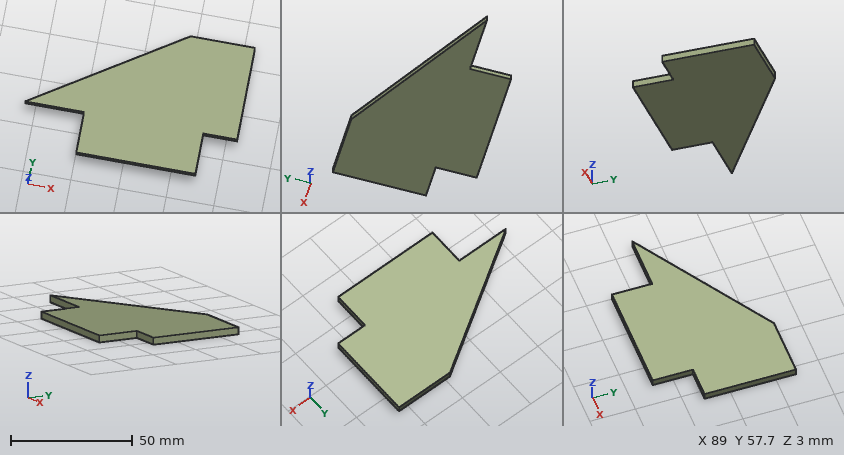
import cadquery as cq

length = 89.0
depth = 57.7
thickness = 3.0

tab_depth = 17.6
tab_width = 50.0
tab_left = 24.7
tab_right = tab_left + tab_width

back_edge_length = 27.0
slope_end = length - back_edge_length

outline = [
    (0, tab_depth),
    (tab_left, tab_depth),
    (tab_left, 0),
    (tab_right, 0),
    (tab_right, tab_depth),
    (length, tab_depth),
    (length, depth),
    (slope_end, depth),
]

result = cq.Workplane("XY").polyline(outline).close().extrude(thickness)